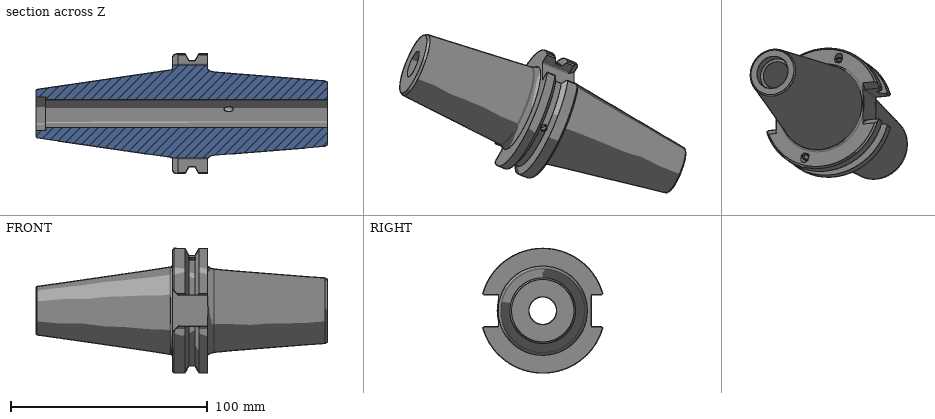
import cadquery as cq
import math

total_length = 148.2
gauge_x = 68.2
flange_start_x = 69.4
flange_end_x = 87.3
groove_x = 79.3
neck_end_x = 90.3
nose_start_x = 90.7

gauge_radius = 22.2
taper_slope = 7 / 48
shank_end_radius = gauge_radius - taper_slope * gauge_x
shank_end_chamfer = 0.6
shank_fillet = 0.9

flange_radius = 31.7
flange_rim_chamfer = 0.9
groove_floor_radius = 28.2
groove_floor_width = 3.1
groove_flank_angle = 30.0
groove_depth = flange_radius - groove_floor_radius
groove_flank_run = groove_depth * math.tan(math.radians(groove_flank_angle))
groove_floor_start_x = groove_x - groove_floor_width / 2
groove_floor_end_x = groove_x + groove_floor_width / 2

neck_radius = 21.3
blend_height = 1.3
nose_start_radius = 21.2
blend_run = neck_end_x - flange_end_x
blend_arc_radius = (blend_run**2 + blend_height**2) / (2 * blend_height)
nose_end_radius = 16.6
nose_end_chamfer_length = 1.3
nose_end_chamfer_depth = 0.7
nose_slope = (nose_start_radius - nose_end_radius) / (total_length - nose_start_x)

bore_radius = 7.0
counterbore_radius = 8.5
counterbore_depth = 5.0

slot_width = 16.2
slot_floor_front = 22.5
slot_floor_back = 24.8
slot_flare = 2.8
slot_floor_fillet = 0.5
slot_edge_break = 0.9

channel_turn = 20.0
channel_tilt = 35.0
channel_face_radius = 27.0
channel_mouth_radius = 2.1
channel_mouth_depth = 1.3
channel_radius = 1.3
plug_mouth_radius = 1.8
plug_mouth_depth = 0.9
plug_hole_radius = 1.3
cut_margin = 3.0


def revolved_body():
    """Shank, flange and nose as one turned solid."""
    groove_start_x = groove_floor_start_x - groove_flank_run
    groove_end_x = groove_floor_end_x + groove_flank_run
    nose_chamfer_x = total_length - nose_end_chamfer_length
    nose_chamfer_radius = nose_end_radius + nose_slope * nose_end_chamfer_length
    profile = (
        cq.Workplane("XY")
        .moveTo(0, 0)
        .lineTo(0, shank_end_radius - shank_end_chamfer)
        .lineTo(shank_end_chamfer, shank_end_radius + taper_slope * shank_end_chamfer)
        .lineTo(gauge_x, gauge_radius)
        .lineTo(flange_start_x - shank_fillet, gauge_radius)
        .radiusArc((flange_start_x, gauge_radius + shank_fillet), -shank_fillet)
        .lineTo(flange_start_x, flange_radius - flange_rim_chamfer)
        .lineTo(flange_start_x + flange_rim_chamfer, flange_radius)
        .lineTo(groove_start_x, flange_radius)
        .lineTo(groove_floor_start_x, groove_floor_radius)
        .lineTo(groove_floor_end_x, groove_floor_radius)
        .lineTo(groove_end_x, flange_radius)
        .lineTo(flange_end_x, flange_radius)
        .lineTo(flange_end_x, neck_radius + blend_height)
        .radiusArc((neck_end_x, neck_radius), -blend_arc_radius)
        .lineTo(nose_start_x, nose_start_radius)
        .lineTo(nose_chamfer_x, nose_chamfer_radius)
        .lineTo(total_length, nose_end_radius - nose_end_chamfer_depth)
        .lineTo(total_length, 0)
        .close()
    )
    return profile.revolve(360, (0, 0, 0), (1, 0, 0))


def axial_bore():
    """Through bore with a counterbore in the shank end."""
    bore = cq.Workplane("YZ").circle(bore_radius).extrude(total_length)
    return bore.union(cq.Workplane("YZ").circle(counterbore_radius).extrude(counterbore_depth))


def drive_slot(floor_distance, side):
    """Slot across the flange on the +Y (side=1) or -Y (side=-1) side.

    The walls flare at the shank face, blend into the floor and break 45 degrees at the rim.
    """
    half = slot_width / 2
    flare_half = half + slot_flare
    flare_end_x = flange_start_x + slot_flare
    outside_y = flange_radius + cut_margin
    flared_outline = [
        (flange_start_x, -flare_half),
        (flare_end_x, -half),
        (nose_start_x, -half),
        (nose_start_x, half),
        (flare_end_x, half),
        (flange_start_x, flare_half),
    ]
    floor_plane = cq.Plane(origin=(0, floor_distance, 0), xDir=(1, 0, 0), normal=(0, -1, 0))
    slot = cq.Workplane(floor_plane).polyline(flared_outline).close().extrude(floor_distance - outside_y)
    slot = slot.faces("<Y").edges("|X").fillet(slot_floor_fillet)

    break_start_y = math.sqrt(flange_radius**2 - half**2) - slot_edge_break
    mouth_half = half + outside_y - break_start_y
    mouth_outline = [
        (break_start_y, -half),
        (outside_y, -mouth_half),
        (outside_y, mouth_half),
        (break_start_y, half),
    ]
    mouth_plane = cq.Workplane("YZ", origin=(flange_start_x, 0, 0))
    mouth = mouth_plane.polyline(mouth_outline).close().extrude(nose_start_x - flange_start_x)
    slot = slot.union(mouth)
    return slot if side > 0 else slot.mirror("XZ")


def stepped_hole(start, direction, mouth_radius, mouth_depth, hole_radius, hole_depth):
    """Hole drilled from a surface point, with a wider mouth that also clears the air above it."""
    outside = start - direction * cut_margin
    mouth = cq.Solid.makeCylinder(mouth_radius, mouth_depth + cut_margin, outside, direction)
    hole = cq.Solid.makeCylinder(hole_radius, hole_depth, start, direction)
    return cq.Workplane(mouth).union(cq.Workplane(hole))


def coolant_channel(half_turn):
    """Slanted hole from the shank face to the bore and the radial plug hole that meets it."""
    tilt = math.radians(channel_tilt)
    slanted_hole = stepped_hole(
        cq.Vector(flange_start_x, 0, channel_face_radius),
        cq.Vector(math.cos(tilt), 0, -math.sin(tilt)),
        channel_mouth_radius,
        channel_mouth_depth,
        channel_radius,
        channel_face_radius / math.sin(tilt),
    )
    meeting_radius = channel_face_radius - (groove_x - flange_start_x) * math.tan(tilt)
    plug_hole = stepped_hole(
        cq.Vector(groove_x, 0, groove_floor_radius),
        cq.Vector(0, 0, -1),
        plug_mouth_radius,
        plug_mouth_depth,
        plug_hole_radius,
        groove_floor_radius - meeting_radius,
    )
    channel = slanted_hole.union(plug_hole)
    return channel.rotate((0, 0, 0), (1, 0, 0), channel_turn + half_turn)


result = revolved_body().cut(axial_bore())
result = result.cut(drive_slot(slot_floor_front, -1))
result = result.cut(drive_slot(slot_floor_back, 1))
for half_turn in (0, 180):
    result = result.cut(coolant_channel(half_turn))